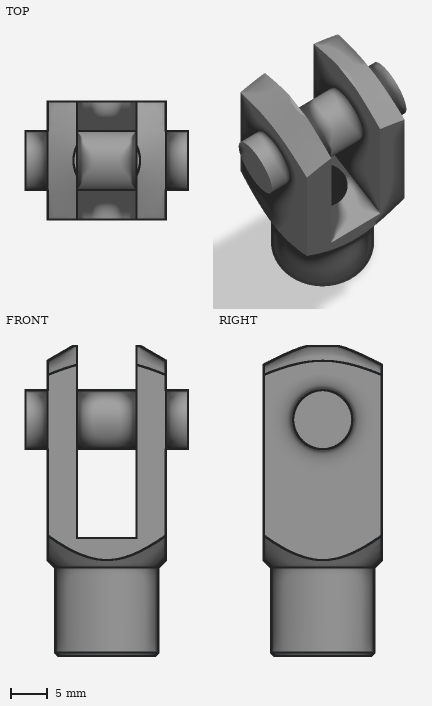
import cadquery as cq
import math

body_width = 16.0
total_height = 42.0
slot_width = body_width / 2
slot_floor_z = 16.0

shank_diameter = 14.0
shank_length = 12.0
shank_chamfer = 0.5
bore_diameter = 6.8

shoulder_angle = 45.0
crown_angle = 30.0
crown_flat_radius = 4.5

pin_diameter = 8.0
pin_length = 22.0
pin_z = 32.0

corner_clearance = 0.5
envelope_radius = body_width / math.sqrt(2) + corner_clearance


def cone_rise(inner_radius, angle):
    """Height change of a cone between inner_radius and the envelope."""
    return (envelope_radius - inner_radius) * math.tan(math.radians(angle))


def make_turned_envelope():
    """Solid of revolution bounding the chamfered shank, shoulder and crown."""
    shank_radius = shank_diameter / 2
    shoulder_top_z = shank_length + cone_rise(shank_radius, shoulder_angle)
    crown_base_z = total_height - cone_rise(crown_flat_radius, crown_angle)
    return (
        cq.Workplane("XZ")
        .moveTo(0, 0)
        .lineTo(shank_radius - shank_chamfer, 0)
        .lineTo(shank_radius, shank_chamfer)
        .lineTo(shank_radius, shank_length)
        .lineTo(envelope_radius, shoulder_top_z)
        .lineTo(envelope_radius, crown_base_z)
        .lineTo(crown_flat_radius, total_height)
        .lineTo(0, total_height)
        .close()
        .revolve(360, (0, 0, 0), (0, 1, 0))
    )


def make_square_bar():
    """Square bar from which the fork head is turned."""
    return cq.Workplane("XY").rect(body_width, body_width).extrude(total_height)


def make_slot():
    """Fork slot, open at the top and through along Y."""
    return (
        cq.Workplane("XY")
        .workplane(offset=slot_floor_z)
        .rect(slot_width, body_width)
        .extrude(total_height - slot_floor_z)
    )


def make_bore():
    """Axial bore from the shank end up to the slot floor."""
    return cq.Workplane("XY").circle(bore_diameter / 2).extrude(slot_floor_z)


def make_pin():
    """Plain cylindrical pin bridging both fork arms."""
    return (
        cq.Workplane("YZ", origin=(-pin_length / 2, 0, pin_z))
        .circle(pin_diameter / 2)
        .extrude(pin_length)
    )


fork = make_turned_envelope().intersect(make_square_bar())
fork = fork.cut(make_slot()).cut(make_bore())
result = fork.union(make_pin())